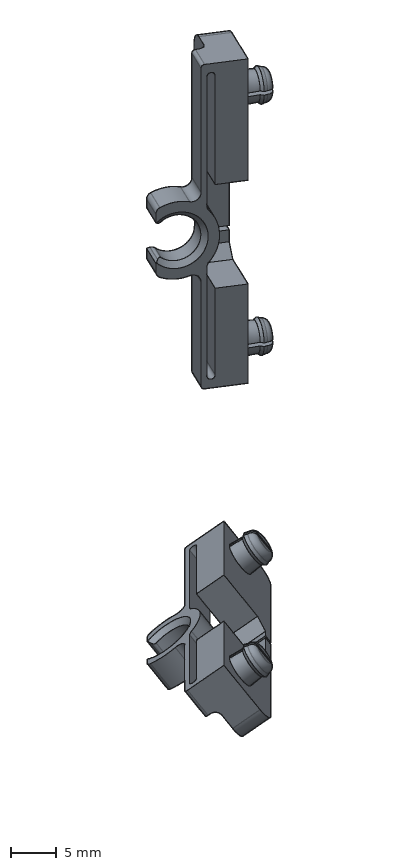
import cadquery as cq
import math

EDGE_SEARCH = 0.05

WIDTH = 8.6
HEIGHT = 39.9
BLOCK_DEPTH = 3.75
BLOCK_CORNER_RADIUS = 2.0

ARM_WIDTH = 3.75
ARM_THICKNESS = 0.67
ARM_GAP = 0.94
ARM_END_WALL = 1.1
ARM_TIP_RADIUS = 0.4
ARM_ROOT_RADIUS = 0.9
ARM_LEFT = WIDTH - ARM_WIDTH
ARM_BACK = -(BLOCK_DEPTH + ARM_GAP)
ARM_FRONT = ARM_BACK - ARM_THICKNESS

CLIP_Y = -8.0
CLIP_Z = -1.25
CLIP_RADIUS = 4.75
CLIP_FRONT = -10.5
BORE_RADIUS = 2.8
BORE_CHAMFER = 0.65
MOUTH_ANGLE = 90.0
LIP_INNER_RADIUS = 0.35
LIP_OUTER_RADIUS = 0.8
CLIP_FRONT_BLEND = 1.0
CLIP_BACK_BLEND = 1.0

RELIEF_CLEARANCE = 0.45
RELIEF_RADIUS = CLIP_RADIUS + RELIEF_CLEARANCE
RELIEF_BLEND = 2.0

BRIDGE_THICKNESS = 1.0
WINDOW_HEIGHT = 12.75
WINDOW_Z = -1.36
WINDOW_CHAMFER = 1.45

SLIT_WIDTH = 0.53
SLIT_DEPTH = 1.75
SLIT_SPACING = 6.6

PIN_X = 5.6
PIN_HEIGHTS = (14.97, -15.93)
PIN_LENGTH = 3.3
PIN_BASE_RADIUS = 2.0
PIN_NECK_RADIUS = 1.87
PIN_NECK_LENGTH = 1.7
PIN_BARB_RADIUS = 2.15
PIN_BARB_Y = 2.07
PIN_HEAD_RADIUS = 2.0
PIN_DOME_RADIUS = 0.8
PIN_SPLIT_WIDTH = 0.45


def box(x_range, y_range, z_range):
    """Axis-aligned box between the given limits."""
    size = [high - low for low, high in (x_range, y_range, z_range)]
    corner = (x_range[0], y_range[0], z_range[0])
    return cq.Workplane("XY").box(*size, centered=False).translate(corner)


def x_cylinder(radius, x_start, length, y, z):
    """Cylinder with its axis along X."""
    return cq.Workplane("YZ", origin=(x_start, y, z)).circle(radius).extrude(length)


def fillet_x_edges(solid, y, z_offset, radius):
    """Round the pair of X-parallel edges lying at depth y, z_offset above and below the clip axis."""
    reach = EDGE_SEARCH
    for z in (CLIP_Z + z_offset, CLIP_Z - z_offset):
        low = (-WIDTH, y - reach, z - reach)
        high = (2 * WIDTH, y + reach, z + reach)
        solid = solid.edges("|X").edges(cq.selectors.BoxSelector(low, high)).fillet(radius)
    return solid


def chord_half(radius, y):
    """Half height of a circle about the clip axis where it crosses depth y."""
    return math.sqrt(radius**2 - (y - CLIP_Y) ** 2)


def make_window():
    """Opening through the block along Y, chamfered on the left and open on the right."""
    bottom = WINDOW_Z - WINDOW_HEIGHT / 2
    window = box((BRIDGE_THICKNESS, WIDTH), (-BLOCK_DEPTH, 0), (bottom, bottom + WINDOW_HEIGHT))
    return window.edges("|Y and <X").chamfer(WINDOW_CHAMFER)


def make_slit(z):
    """Round-ended slit running along X, cut into the rear face at height z."""
    straight = SLIT_DEPTH - SLIT_WIDTH / 2
    slit = box((0, WIDTH), (-straight, 0), (z - SLIT_WIDTH / 2, z + SLIT_WIDTH / 2))
    return slit.union(x_cylinder(SLIT_WIDTH / 2, 0, WIDTH, -straight, z))


def make_block():
    """Back block with its clip relief, window and hinge slits."""
    block = box((0, WIDTH), (-BLOCK_DEPTH, 0), (-HEIGHT / 2, HEIGHT / 2))
    block = block.edges("|Y and <X").fillet(BLOCK_CORNER_RADIUS)
    block = block.cut(x_cylinder(RELIEF_RADIUS, 0, WIDTH, CLIP_Y, CLIP_Z))
    block = fillet_x_edges(block, -BLOCK_DEPTH, chord_half(RELIEF_RADIUS, -BLOCK_DEPTH), RELIEF_BLEND)
    block = block.cut(make_window())
    for side in (-1, 1):
        block = block.cut(make_slit(CLIP_Z + side * SLIT_SPACING / 2))
    return block


def make_arm_ends():
    """Walls joining the arm to the block, with a concave blend on their left side."""
    profile = (
        cq.Workplane("XY", origin=(0, 0, -HEIGHT / 2))
        .moveTo(ARM_LEFT - ARM_ROOT_RADIUS, -BLOCK_DEPTH)
        .radiusArc((ARM_LEFT, -BLOCK_DEPTH - ARM_ROOT_RADIUS), ARM_ROOT_RADIUS)
        .lineTo(ARM_LEFT, ARM_BACK)
        .lineTo(WIDTH, ARM_BACK)
        .lineTo(WIDTH, -BLOCK_DEPTH)
        .close()
    )
    slot_length = HEIGHT - 2 * ARM_END_WALL
    slot = (
        cq.Workplane("YZ", origin=(0, -BLOCK_DEPTH - ARM_GAP / 2, 0))
        .slot2D(slot_length, ARM_GAP, 90)
        .extrude(WIDTH)
    )
    return profile.extrude(HEIGHT).cut(slot)


def make_mouth():
    """Wedge that opens the clip towards -Y."""
    reach = 2 * CLIP_RADIUS
    rise = reach * math.tan(math.radians(MOUTH_ANGLE / 2))
    points = [(0, 0), (-reach, rise), (-reach, -rise)]
    return cq.Workplane("YZ", origin=(0, CLIP_Y, CLIP_Z)).polyline(points).close().extrude(WIDTH)


def make_bore_chamfer(x_face, inward):
    """Cone that opens the bore at one face of the clip; inward is +1 or -1 along X."""
    cone = cq.Solid.makeCone(
        BORE_RADIUS + BORE_CHAMFER,
        BORE_RADIUS,
        BORE_CHAMFER,
        pnt=cq.Vector(x_face, CLIP_Y, CLIP_Z),
        dir=cq.Vector(inward, 0, 0),
    )
    return cq.Workplane(obj=cone)


def make_arm_with_clip():
    """Spring arm carrying the clip, with blended roots, rounded lips and a chamfered bore."""
    arm = box((ARM_LEFT, WIDTH), (ARM_FRONT, ARM_BACK), (-HEIGHT / 2, HEIGHT / 2))
    arm = arm.edges("|X and <Y").fillet(ARM_TIP_RADIUS)
    arm = arm.union(x_cylinder(CLIP_RADIUS, ARM_LEFT, ARM_WIDTH, CLIP_Y, CLIP_Z))
    arm = fillet_x_edges(arm, ARM_FRONT, chord_half(CLIP_RADIUS, ARM_FRONT), CLIP_FRONT_BLEND)
    arm = fillet_x_edges(arm, ARM_BACK, chord_half(CLIP_RADIUS, ARM_BACK), CLIP_BACK_BLEND)

    beyond_front = box((0, WIDTH), (CLIP_FRONT - CLIP_RADIUS, CLIP_FRONT), (-HEIGHT / 2, HEIGHT / 2))
    arm = arm.cut(beyond_front)
    arm = arm.cut(x_cylinder(BORE_RADIUS, ARM_LEFT, ARM_WIDTH, CLIP_Y, CLIP_Z))
    arm = arm.cut(make_mouth())
    arm = fillet_x_edges(arm, CLIP_FRONT, chord_half(CLIP_RADIUS, CLIP_FRONT), LIP_OUTER_RADIUS)
    half_mouth = math.radians(MOUTH_ANGLE / 2)
    lip_y = CLIP_Y - BORE_RADIUS * math.cos(half_mouth)
    arm = fillet_x_edges(arm, lip_y, BORE_RADIUS * math.sin(half_mouth), LIP_INNER_RADIUS)

    arm = arm.cut(make_bore_chamfer(ARM_LEFT, 1))
    return arm.cut(make_bore_chamfer(WIDTH, -1))


def make_pin(z):
    """Barbed pin with a domed head, split along X down to the rear face."""
    profile = (
        cq.Workplane("XY", origin=(PIN_X, 0, z))
        .lineTo(PIN_BASE_RADIUS, 0)
        .lineTo(PIN_NECK_RADIUS, PIN_NECK_LENGTH)
        .lineTo(PIN_BARB_RADIUS, PIN_BARB_Y)
        .lineTo(PIN_HEAD_RADIUS, PIN_LENGTH - PIN_DOME_RADIUS)
        .radiusArc((PIN_HEAD_RADIUS - PIN_DOME_RADIUS, PIN_LENGTH), -PIN_DOME_RADIUS)
        .lineTo(0, PIN_LENGTH)
        .close()
    )
    pin = profile.revolve(360, (0, 0, 0), (0, 1, 0))
    half_split = PIN_SPLIT_WIDTH / 2
    split = box((0, WIDTH), (half_split, PIN_LENGTH), (z - half_split, z + half_split))
    split = split.union(x_cylinder(half_split, 0, WIDTH, half_split, z))
    return pin.cut(split)


result = make_block().union(make_arm_ends()).union(make_arm_with_clip())
for pin_z in PIN_HEIGHTS:
    result = result.union(make_pin(pin_z))